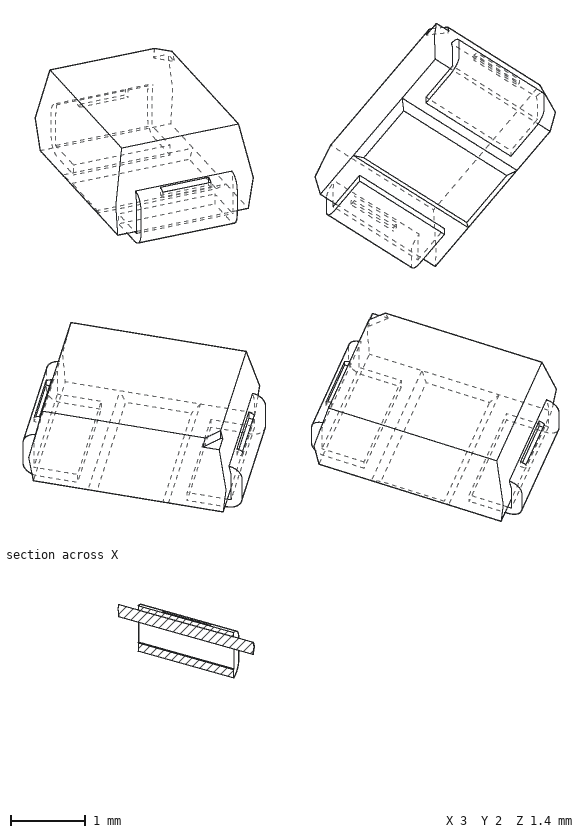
import cadquery as cq


total_length = 3.0
total_height = 1.4

lead_thickness = 0.15
lead_width = 1.4
lead_outer_radius = 0.2
foot_length = 0.75
slot_length = lead_width / 2
slot_width = lead_thickness / 2
slot_depth = 0.125

housing_length = total_length - 2 * lead_thickness
housing_width = 2.0
housing_bottom_z = lead_thickness
parting_z = 0.63
upper_inset = 0.15
lower_inset = 0.05
lead_top_z = parting_z + lead_thickness

pad_length = 1.1
pad_bottom_z = 0.05
pad_height = housing_bottom_z - pad_bottom_z

notch_length = 0.345
notch_width = 0.33
notch_depth = 0.15

window_length = 2.0
window_width = 1.5
window_depth = 0.03


def frustum(length, width, z, height, inset):
    """Block with a rectangular base at z, its four sides leaning in by inset over the signed height."""
    return (
        cq.Workplane("XY", origin=(0, 0, z))
        .rect(length, width)
        .workplane(offset=height)
        .rect(length - 2 * inset, width - 2 * inset)
        .loft(ruled=True)
    )


def polarity_notch():
    """Cutter for the -X +Y top corner, its diagonal side running out at the +Y edge of the notch floor."""
    corner_x = -housing_length / 2
    corner_y = housing_width / 2
    floor_inset = upper_inset * (1 - notch_depth / (total_height - parting_z))
    return (
        cq.Workplane("XY", origin=(0, 0, total_height - notch_depth))
        .moveTo(corner_x, corner_y)
        .lineTo(corner_x + notch_length, corner_y)
        .lineTo(corner_x + notch_length, corner_y - floor_inset)
        .lineTo(corner_x + upper_inset, corner_y - notch_width)
        .lineTo(corner_x, corner_y - notch_width)
        .close()
        .extrude(notch_depth)
    )


def mark_window(body):
    """Refill an oval pocket flush with the top, which keeps the window outline as an edge on the flat face."""
    window = (
        cq.Workplane("XY", origin=(0, 0, total_height))
        .slot2D(window_length, window_width)
        .extrude(-window_depth)
    )
    return body.cut(window).union(window, clean=False)


def make_housing():
    upper = frustum(housing_length, housing_width, parting_z, total_height - parting_z, upper_inset)
    lower = frustum(housing_length, housing_width, parting_z, housing_bottom_z - parting_z, lower_inset)
    pad_width = housing_width - 2 * lower_inset
    pad = frustum(pad_length, pad_width, housing_bottom_z, -pad_height, pad_height)
    body = upper.union(lower).union(pad).cut(polarity_notch())
    return mark_window(body)


def make_lead(housing, angle):
    """C-shaped strip turned by angle about Z from -X; its top leg ends against the leaning housing wall."""
    outer_x = -total_length / 2
    inner_x = outer_x + lead_thickness
    bend_x = outer_x + lead_outer_radius
    strip = (
        cq.Workplane("XZ")
        .moveTo(outer_x + foot_length, 0)
        .lineTo(bend_x, 0)
        .radiusArc((outer_x, lead_outer_radius), lead_outer_radius)
        .lineTo(outer_x, lead_top_z - lead_outer_radius)
        .radiusArc((bend_x, lead_top_z), lead_outer_radius)
        .lineTo(bend_x, parting_z)
        .lineTo(inner_x, parting_z)
        .lineTo(inner_x, lead_thickness)
        .lineTo(outer_x + foot_length, lead_thickness)
        .close()
        .extrude(lead_width / 2, both=True)
    )
    slot = (
        cq.Workplane("XY", origin=(inner_x - slot_width / 2, 0, lead_top_z))
        .rect(slot_width, slot_length)
        .extrude(-slot_depth)
    )
    lead = strip.cut(slot).cut(housing)
    return lead.rotate((0, 0, 0), (0, 0, 1), angle)


housing = make_housing()
leads = [make_lead(housing, angle) for angle in (0, 180)]

result = cq.Compound.makeCompound([
    housing.solids().val(),
    *[lead.solids().val() for lead in leads],
])